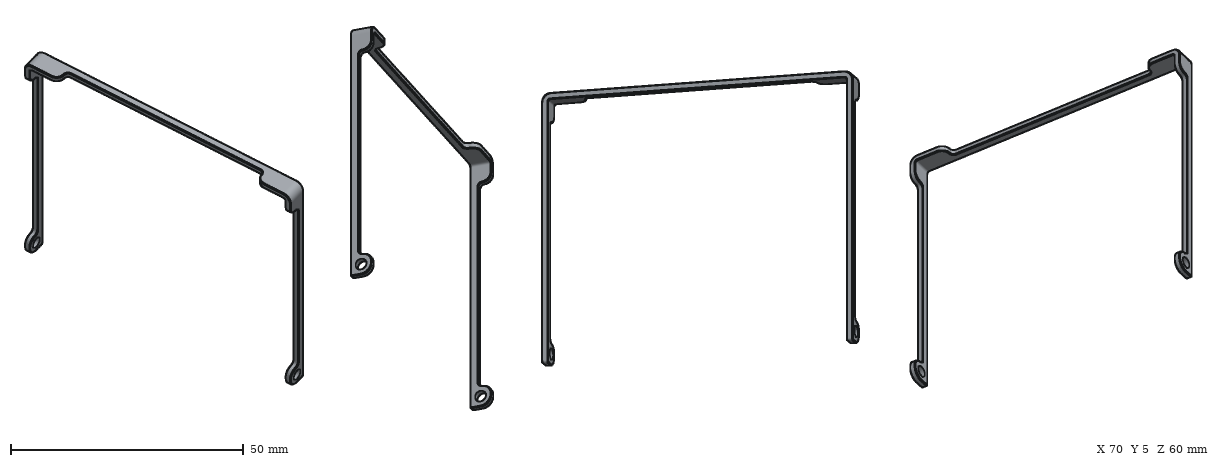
import cadquery as cq

width = 70.0
depth = 5.0
height = 60.0

thickness = 1.5
strip_depth = 1.95
outer_bend_radius = 2.0
inner_bend_radius = outer_bend_radius - thickness

top_tab_reach = 9.1
side_tab_reach = 6.0

step_inner_radius = 1.0
step_outer_radius = depth - strip_depth - step_inner_radius

eye_radius = depth / 2
eye_hole_diameter = 2.5

foot_corner_radius = 0.5
edge_chamfer = 0.2

half_width = width / 2
back = depth / 2
front = -depth / 2
strip_front = back - strip_depth


def frame_band():
    """U-shaped band, bent from flat stock, over the full depth."""
    outer = (
        cq.Workplane("XZ", origin=(0, back, 0))
        .rect(width, 2 * height)
        .extrude(depth)
        .edges("|Y and >Z")
        .fillet(outer_bend_radius)
    )
    inner = (
        cq.Workplane("XZ", origin=(0, back, 0))
        .rect(width - 2 * thickness, 2 * (height - thickness))
        .extrude(depth)
        .edges("|Y and >Z")
        .fillet(inner_bend_radius)
    )
    above_ground = cq.Workplane("XY").box(width, depth, height, centered=(True, True, False))
    return outer.cut(inner).intersect(above_ground)


def gap_between_top_tabs():
    """Clearance in front of the top strip, with an S-curve at each tab."""
    wall = half_width - top_tab_reach
    mouth = wall + step_outer_radius
    corner_start = front + step_outer_radius
    return (
        cq.Workplane("XY", origin=(0, 0, height - outer_bend_radius))
        .moveTo(-mouth, front)
        .radiusArc((-wall, corner_start), -step_outer_radius)
        .radiusArc((step_inner_radius - wall, strip_front), step_inner_radius)
        .lineTo(wall - step_inner_radius, strip_front)
        .radiusArc((wall, corner_start), step_inner_radius)
        .radiusArc((mouth, front), -step_outer_radius)
        .close()
        .extrude(outer_bend_radius)
    )


def gap_along_legs():
    """Clearance in front of both legs, from the side tab down to the eye."""
    tab_bottom = height - side_tab_reach
    corner_start = front + step_outer_radius

    eye_top = 2 * eye_radius
    return (
        cq.Workplane("YZ", origin=(-half_width, 0, 0))
        .moveTo(front, tab_bottom + step_outer_radius)
        .radiusArc((corner_start, tab_bottom), -step_outer_radius)
        .radiusArc((strip_front, tab_bottom - step_inner_radius), step_inner_radius)
        .lineTo(strip_front, eye_top + step_inner_radius)
        .radiusArc((corner_start, eye_top), step_inner_radius)
        .radiusArc((front, eye_top - step_outer_radius), -step_outer_radius)
        .close()
        .extrude(width)
    )


def eye_underside():
    """Waste below the round front quarter of both eyes."""
    return (
        cq.Workplane("YZ", origin=(-half_width, 0, 0))
        .moveTo(front, eye_radius)
        .radiusArc((0, 0), -eye_radius)
        .lineTo(front, 0)
        .close()
        .extrude(width)
    )


def eye_holes():
    """One bore along X through both eyes."""
    return (
        cq.Workplane("YZ", origin=(-half_width, 0, 0))
        .center(0, eye_radius)
        .circle(eye_hole_diameter / 2)
        .extrude(width)
    )


frame = frame_band().cut(gap_between_top_tabs()).cut(gap_along_legs()).cut(eye_underside())

frame = frame.edges("|X and >Y and <Z").fillet(foot_corner_radius)

frame = frame.faces(">Y").edges("|X").chamfer(edge_chamfer)

result = frame.cut(eye_holes())